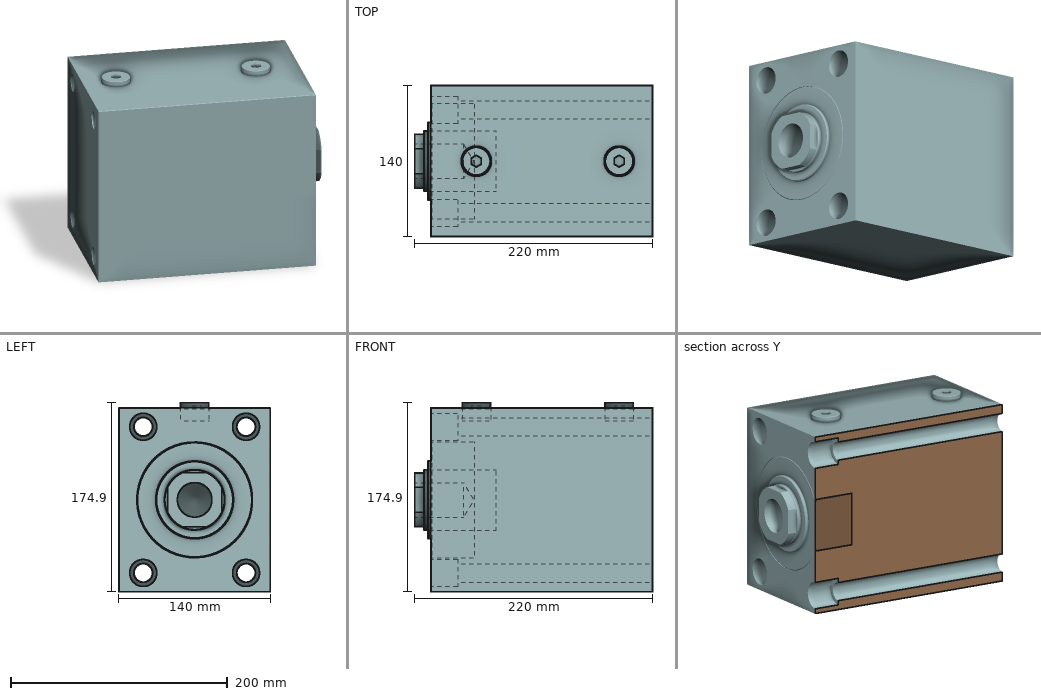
import cadquery as cq
import math


block_length = 205.0
block_width = 140.0
block_height = 170.0
block_top = block_height / 2
top_edge_chamfer = 0.5

bolt_spacing_y = 95.0
bolt_spacing_z = 135.0
bolt_hole_dia = 17.0
bolt_head_dia = 25.0
bolt_head_depth = 25.0

gland_dia = 107.0
gland_depth = 40.0
gland_edge_chamfer = 0.8
collar_dia = 72.0
collar_height = 3.0
collar_chamfer = 0.8

rod_dia = 56.0
rod_shoulder_height = 6.5
rod_chamfer = 0.5
wrench_end_dia = rod_dia - 2 * rod_chamfer
wrench_flat_width = 50.0
rod_projection = 15.0
rod_inner_end_x = 60.0
rod_bore_dia = 32.0
rod_bore_depth = 45.0
drill_point_angle = 118.0

plug_first_x = 42.0
plug_spacing = 132.0
plug_dia = 26.3
plug_chamfer = 0.4
plug_projection = 4.9
plug_seat_dia = 28.0
plug_seat_depth = 1.0
plug_depth = 12.0
plug_hex_flats = 9.4
plug_hex_depth = 3.0


def cylinder_x(diameter, x_start, x_end):
    """Cylinder on the rod axis between two X positions."""
    return cq.Workplane("YZ").workplane(offset=x_start).circle(diameter / 2).extrude(x_end - x_start)


def make_housing():
    block = cq.Workplane("XY").box(block_length, block_width, block_height, centered=(False, True, True))
    block = block.faces(">Z").edges("|X").chamfer(top_edge_chamfer)

    bolt_pattern = cq.Workplane("YZ").rarray(bolt_spacing_y, bolt_spacing_z, 2, 2)
    block = block.cut(bolt_pattern.circle(bolt_hole_dia / 2).extrude(block_length))
    block = block.cut(bolt_pattern.circle(bolt_head_dia / 2).extrude(bolt_head_depth))

    block = block.cut(cylinder_x(gland_dia, 0, gland_depth))
    block = block.cut(cylinder_x(rod_dia, 0, rod_inner_end_x))

    for x in plug_positions:
        top_plane = cq.Workplane("XY", origin=(x, 0, block_top))
        block = block.cut(top_plane.circle(plug_dia / 2).extrude(-plug_depth))
        block = block.cut(top_plane.circle(plug_seat_dia / 2).extrude(-plug_seat_depth))
    return block


def make_gland():
    body = cylinder_x(gland_dia, 0, gland_depth).faces("<X").chamfer(gland_edge_chamfer)
    collar = cylinder_x(collar_dia, -collar_height, 0).faces("<X").chamfer(collar_chamfer)
    return body.union(collar).cut(cylinder_x(rod_dia, -collar_height, gland_depth))


def make_rod():
    shaft = cylinder_x(rod_dia, -rod_shoulder_height, rod_inner_end_x).faces("<X").chamfer(rod_chamfer)
    wrench_end = cylinder_x(wrench_end_dia, -rod_projection, -rod_shoulder_height)
    wrench_square = cq.Workplane("YZ").workplane(offset=-rod_projection).rect(
        wrench_flat_width, wrench_flat_width).extrude(rod_projection - rod_shoulder_height)
    rod = shaft.union(wrench_end.intersect(wrench_square))

    bore_radius = rod_bore_dia / 2
    bore_bottom = -rod_projection + rod_bore_depth
    point_length = bore_radius / math.tan(math.radians(drill_point_angle / 2))
    bore = (
        cq.Workplane("XY")
        .moveTo(-rod_projection, 0)
        .lineTo(-rod_projection, bore_radius)
        .lineTo(bore_bottom, bore_radius)
        .lineTo(bore_bottom + point_length, 0)
        .close()
        .revolve(360, (0, 0, 0), (1, 0, 0))
    )
    return rod.cut(bore)


def make_plug(x):
    """Round port plug with a hexagon socket, its flats square to X."""
    plug_bottom = block_top - plug_depth
    plug_height = plug_depth + plug_projection
    plug = cq.Workplane("XY", origin=(x, 0, plug_bottom)).circle(plug_dia / 2).extrude(plug_height)
    plug = plug.faces(">Z").chamfer(plug_chamfer)
    hex_corner_dia = plug_hex_flats / math.cos(math.radians(30))
    socket = (
        cq.Workplane("XY", origin=(x, 0, plug_bottom + plug_height))
        .transformed(rotate=(0, 0, 90))
        .polygon(6, hex_corner_dia)
        .extrude(-plug_hex_depth)
    )
    return plug.cut(socket)


plug_positions = [plug_first_x, plug_first_x + plug_spacing]

housing = make_housing()
gland = make_gland()
rod = make_rod()
plugs = [make_plug(x) for x in plug_positions]

result = cq.Compound.makeCompound(
    [housing.val(), gland.val(), rod.val(), *[plug.val() for plug in plugs]])